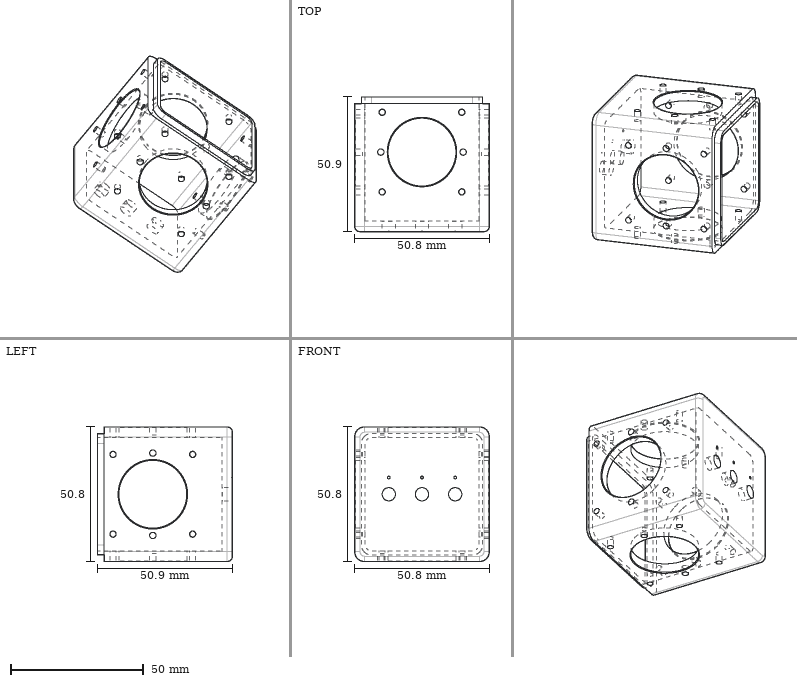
import cadquery as cq
width = 50.8
total_depth = 50.85
lip_length = 2.55
lip_inset = 2.55
lip_width = width - 2 * lip_inset
body_depth = total_depth - lip_length
corner_radius = 3.8
front_fillet = 2.05

wall = 4.0
cavity_width = width - 2 * wall
cavity_radius = 2.55

port_y = 30.0
port_diameter = 25.6
port_chamfer = 0.3
rod_hole_diameter = 2.25
rod_spacing = 30.0
pin_hole_diameter = 2.4
pin_spacing = 31.0
pin_hole_depth = 3.05

front_hole_count = 3
front_hole_diameter = 5.0
front_hole_depth = 3.8
front_hole_pitch = 12.5
mark_diameter = 1.0
mark_height = 6.3
mark_depth = 0.3


def square_bar(size, y_start, y_end, radius):
    """Square bar along Y with its four long edges rounded."""
    return (
        cq.Workplane("XZ", origin=(0, y_start, 0))
        .rect(size, size)
        .extrude(y_start - y_end)
        .edges("|Y")
        .fillet(radius)
    )


def shell():
    """Hollow block with a rounded front and a narrower lip around the open back."""
    block = square_bar(width, 0, body_depth, corner_radius)
    block = block.faces("<Y").edges().fillet(front_fillet)
    lip = square_bar(lip_width, wall, total_depth, corner_radius)
    cavity = square_bar(cavity_width, wall, total_depth, cavity_radius)
    return block.union(lip).cut(cavity)


def top_port_cutters():
    """Cutters for the port, rod holes and pin holes of the top wall."""
    top_plane = cq.Workplane("XY", origin=(0, port_y, width / 2))
    port_radius = port_diameter / 2
    port = top_plane.circle(port_radius).extrude(-wall)
    rim = cq.Workplane(
        cq.Solid.makeCone(
            port_radius + port_chamfer,
            port_radius,
            port_chamfer,
            cq.Vector(0, port_y, width / 2),
            cq.Vector(0, 0, -1),
        )
    )
    rod_holes = (
        top_plane.rect(rod_spacing, rod_spacing, forConstruction=True)
        .vertices()
        .circle(rod_hole_diameter / 2)
        .extrude(-wall)
    )
    pin_holes = (
        top_plane.pushPoints([(-pin_spacing / 2, 0), (pin_spacing / 2, 0)])
        .circle(pin_hole_diameter / 2)
        .extrude(-pin_hole_depth)
    )
    return [port, rim, rod_holes, pin_holes]


def cut_side_ports(body):
    """Repeat the top wall's port and holes on all four walls around the Y axis."""
    for angle in (0, 90, 180, 270):
        for cutter in top_port_cutters():
            body = body.cut(cutter.rotate((0, 0, 0), (0, 1, 0), angle))
    return body


def cut_front_holes(body):
    """Blind holes across the middle of the front face, each below a conical mark."""
    for index in range(front_hole_count):
        x = (index - (front_hole_count - 1) / 2) * front_hole_pitch
        hole = (
            cq.Workplane("XZ")
            .center(x, 0)
            .circle(front_hole_diameter / 2)
            .extrude(-front_hole_depth)
        )
        mark = cq.Workplane(
            cq.Solid.makeCone(
                mark_diameter / 2,
                0,
                mark_depth,
                cq.Vector(x, 0, mark_height),
                cq.Vector(0, 1, 0),
            )
        )
        body = body.cut(hole).cut(mark)
    return body


housing = cut_front_holes(cut_side_ports(shell()))

result = cq.Compound.makeCompound([housing.val()])